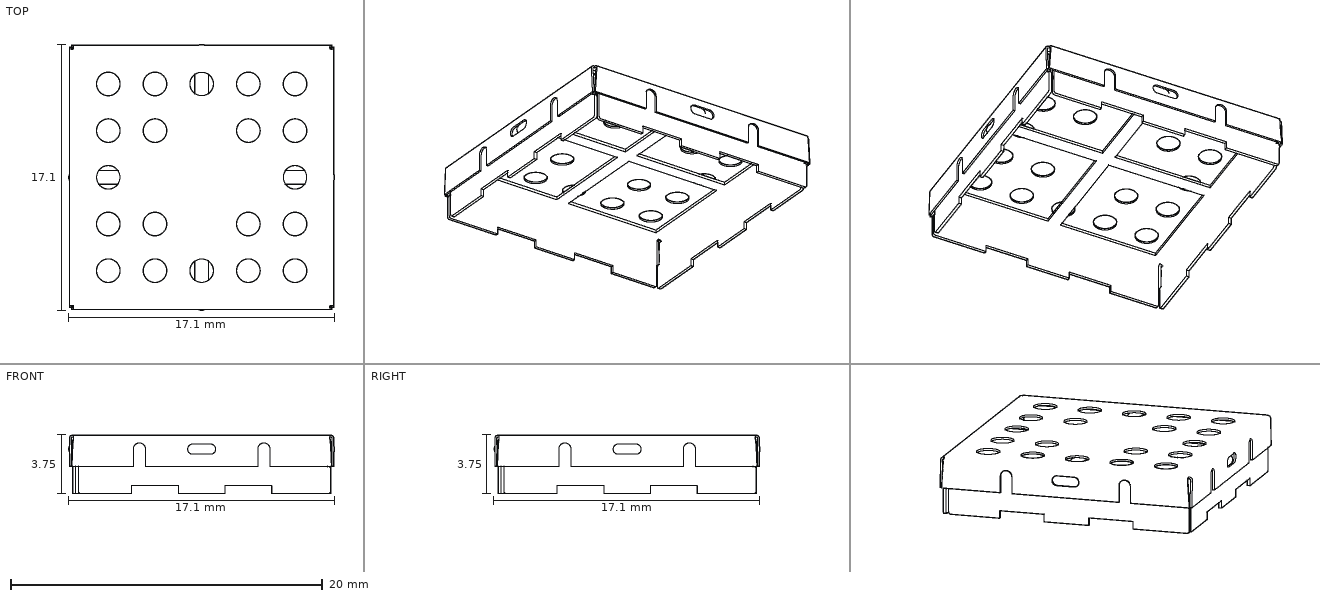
import cadquery as cq
import math

total_height = 3.75
quarter_turns = (0, 90, 180, 270)

cover_width = 17.0
cover_thickness = 0.13
cover_depth = 2.0
cover_bend_radius = 0.2
flange_top_width = 16.48
flange_bottom_width = 16.72
vent_diameter = 1.5
vent_pitch = 3.0
outer_ring = 2
inner_ring = 1
relief_slot_width = 0.78
relief_slot_height = 1.5
relief_slot_offset = 4.0
latch_slot_length = 1.8
latch_slot_height = 0.65
latch_drop = 0.9

fence_width = 16.6
fence_thickness = 0.2
fence_bend_radius = 0.3
bar_width = 0.9
rim_width = 1.0
notch_width = 3.0
notch_height = 0.5
notch_offset = 3.0
corner_gap = 0.17
tab_height = 1.73
tab_step = 0.2
wall_corner_radius = 0.15

bump_base_radius = 0.46
bump_cap_radius = 0.315
bump_height = 0.25

cover_bottom = total_height - cover_depth
cover_half = cover_width / 2
cover_inner_width = cover_width - 2 * cover_thickness
fence_top = total_height - cover_thickness
fence_half = fence_width / 2
fence_inner_width = fence_width - 2 * fence_thickness
bend_start = fence_top - fence_bend_radius
corner_cut = fence_thickness + corner_gap
latch_height = total_height - latch_drop


def block(x_size, y_size, z_bottom, z_top):
    """Box centred on the Z axis between two heights."""
    return cq.Workplane("XY").workplane(offset=z_bottom).rect(x_size, y_size).extrude(z_top - z_bottom)


def corner_block(x_min, x_max, y_min, y_max, z_min, z_max):
    """Box given by its limits along each axis."""
    size = (x_max - x_min, y_max - y_min, z_max - z_min)
    return cq.Workplane("XY").box(*size, centered=False).translate((x_min, y_min, z_min))


def turned(shape, angle):
    """Shape turned about the Z axis."""
    return shape.rotate((0, 0, 0), (0, 0, 1), angle)



def bent_strip():
    """Lid section: a top with the two bent-down Y flanges, whose ends slant outward toward the bottom."""
    inner_bend_radius = cover_bend_radius - cover_thickness
    outer = block(flange_bottom_width, cover_width, cover_bottom, total_height)
    outer = outer.faces(">Z").edges("|X").fillet(cover_bend_radius)
    inner = block(flange_bottom_width, cover_inner_width, cover_bottom, fence_top)
    inner = inner.faces(">Z").edges("|X").fillet(inner_bend_radius)
    side_profile = [
        (-flange_bottom_width / 2, cover_bottom),
        (flange_bottom_width / 2, cover_bottom),
        (flange_top_width / 2, total_height - cover_bend_radius),
        (flange_top_width / 2, total_height),
        (-flange_top_width / 2, total_height),
        (-flange_top_width / 2, total_height - cover_bend_radius),
    ]
    taper = cq.Workplane("XZ").polyline(side_profile).close().extrude(cover_half, both=True)
    return outer.cut(inner).intersect(taper)


def vent_holes():
    """Two-ring grid of round holes, leaving the pick-up area around the centre plain."""
    points = []
    steps = range(-outer_ring, outer_ring + 1)
    for column in steps:
        for row in steps:
            in_outer_ring = max(abs(column), abs(row)) == outer_ring
            on_inner_corner = abs(column) == inner_ring and abs(row) == inner_ring
            if in_outer_ring or on_inner_corner:
                points.append((column * vent_pitch, row * vent_pitch))
    vents = cq.Workplane("XY").workplane(offset=fence_top).pushPoints(points)
    return vents.circle(vent_diameter / 2).extrude(cover_thickness)


def flange_openings():
    """Latch slot and round-topped relief slots, cut through both Y flanges."""
    slot_radius = relief_slot_width / 2
    arc_center_height = cover_bottom + relief_slot_height - slot_radius
    openings = (
        cq.Workplane("XZ")
        .center(0, latch_height)
        .slot2D(latch_slot_length, latch_slot_height)
        .extrude(cover_half, both=True)
    )
    for x in (-relief_slot_offset, relief_slot_offset):
        relief = (
            cq.Workplane("XZ")
            .moveTo(x - slot_radius, cover_bottom)
            .lineTo(x - slot_radius, arc_center_height)
            .threePointArc((x, arc_center_height + slot_radius), (x + slot_radius, arc_center_height))
            .lineTo(x + slot_radius, cover_bottom)
            .close()
            .extrude(cover_half, both=True)
        )
        openings = openings.union(relief)
    return openings


def make_cover():
    lid = bent_strip().union(turned(bent_strip(), 90))
    openings = flange_openings()
    return lid.cut(openings).cut(turned(openings, 90)).cut(vent_holes())



def fence_shell():
    """Frame walls bent over into a narrow rim at the top."""
    shell = block(fence_width, fence_width, 0, fence_top)
    shell = shell.faces(">Z").edges().fillet(fence_bend_radius)
    cavity = block(fence_inner_width, fence_inner_width, 0, fence_top - fence_thickness)
    cavity = cavity.faces(">Z").edges().fillet(fence_bend_radius - fence_thickness)
    opening_width = fence_width - 2 * rim_width
    return shell.cut(cavity).cut(block(opening_width, opening_width, 0, fence_top))


def cross_bars():
    """Two crossing bars that span the rim opening."""
    span = fence_width - 2 * rim_width
    bar = block(span, bar_width, fence_top - fence_thickness, fence_top)
    return bar.union(turned(bar, 90))


def wall_notches():
    """Bottom notches through both Y walls."""
    notch = block(notch_width, fence_width, 0, notch_height)
    return notch.translate((-notch_offset, 0, 0)).union(notch.translate((notch_offset, 0, 0)))


def corner_zone():
    """Full-height square at the (-X, -Y) corner, cleared before the wall end is added."""
    zone_end = corner_cut - fence_half
    return corner_block(-fence_half, zone_end, -fence_half, zone_end, 0, fence_top)


def stepped_wall_end():
    """End of the -X wall in the corner zone: a flush lower tab and a set-back part up to the bend."""
    x_limits = (-fence_half, fence_thickness - fence_half)
    y_joint = corner_cut - fence_half
    lower = corner_block(*x_limits, -fence_half, y_joint, 0, tab_height)
    lower = lower.faces("<Y").edges("|X").fillet(wall_corner_radius)
    upper = corner_block(*x_limits, tab_step - fence_half, y_joint, tab_height / 2, bend_start)
    upper = upper.faces(">Z").edges("<Y").fillet(wall_corner_radius)
    return lower.union(upper)


def wall_start_rounding():
    """Material removed to round the lower corner of the -Y wall beside the gap."""
    x_start = corner_cut - fence_half
    x_end = x_start + wall_corner_radius
    y_limits = (-fence_half, fence_thickness - fence_half)
    corner = corner_block(x_start, x_end, *y_limits, 0, wall_corner_radius)
    kept = (
        cq.Workplane("XZ")
        .center(x_end, wall_corner_radius)
        .circle(wall_corner_radius)
        .extrude(fence_half)
    )
    return corner.cut(kept)


def latch_bump():
    """Bump on the outside of the -Y wall, revolved about the wall normal."""
    cap_angle = 2 * math.atan(bump_height / bump_base_radius)
    sphere_radius = bump_cap_radius / math.sin(cap_angle)
    foot_radius = (bump_base_radius - bump_cap_radius) / math.sin(cap_angle)
    half_angle = cap_angle / 2
    foot_middle = (
        bump_base_radius - foot_radius * math.sin(half_angle),
        foot_radius * (1 - math.cos(half_angle)),
    )
    foot_end = (bump_cap_radius, foot_radius * (1 - math.cos(cap_angle)))
    cap_middle = (
        sphere_radius * math.sin(half_angle),
        bump_height - sphere_radius * (1 - math.cos(half_angle)),
    )
    bump = (
        cq.Workplane("XY")
        .moveTo(0, 0)
        .lineTo(bump_base_radius, 0)
        .threePointArc(foot_middle, foot_end)
        .threePointArc(cap_middle, (0, bump_height))
        .close()
        .revolve(360, (0, 0), (0, 1))
    )
    return bump.rotate((0, 0, 0), (1, 0, 0), 180).translate((0, -fence_half, latch_height))


def make_fence():
    frame = fence_shell().union(cross_bars())
    notches = wall_notches()
    frame = frame.cut(notches).cut(turned(notches, 90))
    for angle in quarter_turns:
        frame = frame.cut(turned(corner_zone(), angle))
        frame = frame.cut(turned(wall_start_rounding(), angle))
        frame = frame.union(turned(stepped_wall_end(), angle))
        frame = frame.union(turned(latch_bump(), angle))
    return frame


cover = make_cover()
fence = make_fence()

result = cq.Compound.makeCompound([cover.val(), fence.val()])